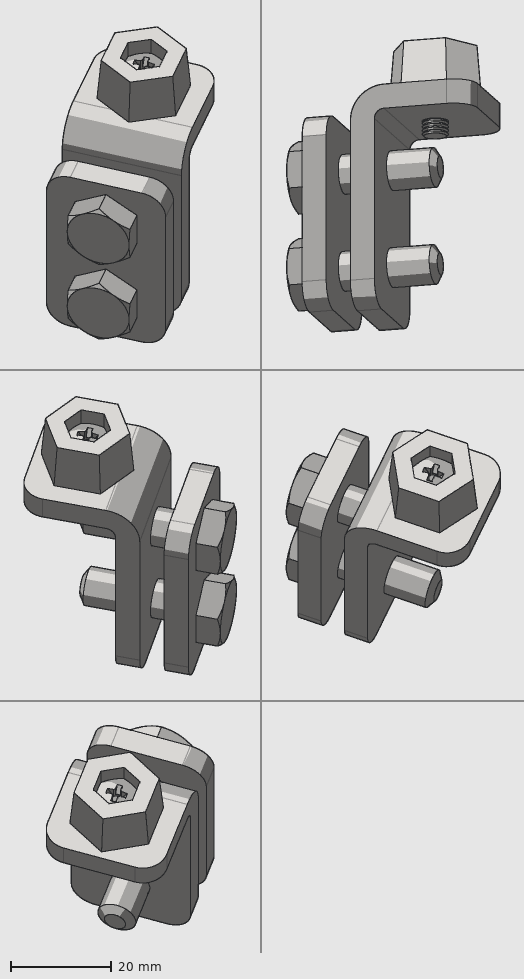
import cadquery as cq
import math

WIDTH = 25.0
DEPTH = 40.0
HEIGHT = 55.0
STOCK = 5.0
CORNER_RADIUS = 5.0
CLAMP_GAP = 5.0

BOLT_HEAD_HEIGHT = 5.0
BOLT_HEAD_FLATS = 13.0
BOLT_HEAD_CHAMFER_ANGLE = 30
BOLT_DIAMETER = 8.0
BOLT_LENGTH = 25.0
BOLT_TIP_LENGTH = 1.15
BOLT_TIP_INSET = 1.75
BOLT_SPACING = 20.0

CAP_HEIGHT = 10.0
CAP_BASE_FLATS = 16.5
CAP_TOP_FLATS = 15.0
SOCKET_FLATS = 8.2

SCREW_SETBACK = 11.0
SCREW_DIAMETER = 5.2
SCREW_PROTRUSION = 3.0
SCREW_HEAD_DIAMETER = 10.0
SCREW_HEAD_TOP_DROP = 2.3
SCREW_HEAD_RIM_HEIGHT = 2.0
SCREW_DOME_HEIGHT = 1.65
THREAD_RIDGES = 4
THREAD_PITCH = SCREW_PROTRUSION / THREAD_RIDGES
THREAD_DEPTH = 0.35
RECESS_SPAN = 4.5
RECESS_ARM_WIDTH = 1.1
RECESS_CORE_DIAMETER = 2.0
RECESS_ARM_DEPTH = 2.0
RECESS_CORE_DEPTH = 2.5
RECESS_POINT_ANGLE = 30

BEND_INNER_RADIUS = 2.0
PLATE_HEIGHT = 40.0
PLATE_TOP_DROP = 4.5

BEND_OUTER_RADIUS = BEND_INNER_RADIUS + STOCK
PLATE_FRONT_Y = BOLT_HEAD_HEIGHT
BRACKET_FRONT_Y = PLATE_FRONT_Y + STOCK + CLAMP_GAP
BRACKET_TOP_Z = HEIGHT - CAP_HEIGHT
PLATE_MID_Z = BRACKET_TOP_Z - PLATE_TOP_DROP - PLATE_HEIGHT / 2
BOLT_HEIGHTS = [PLATE_MID_Z + BOLT_SPACING / 2, PLATE_MID_Z - BOLT_SPACING / 2]
SCREW_Y = DEPTH - SCREW_SETBACK
SCREW_TIP_Z = BRACKET_TOP_Z - STOCK - SCREW_PROTRUSION
SCREW_CROWN_Z = HEIGHT - SCREW_HEAD_TOP_DROP
SCREW_RIM_Z = SCREW_CROWN_Z - SCREW_DOME_HEIGHT
SCREW_SEAT_Z = SCREW_RIM_Z - SCREW_HEAD_RIM_HEIGHT
RECESS_ARM_FLOOR_Z = SCREW_CROWN_Z - RECESS_ARM_DEPTH
RECESS_CORE_FLOOR_Z = SCREW_CROWN_Z - RECESS_CORE_DEPTH


def across_corners(flats):
    """Corner-to-corner size of a hexagon."""
    return flats / math.cos(math.pi / 6)


def hexagon(plane, flats):
    """Workplane with a hexagon whose corners point along the plane's local X."""
    return cq.Workplane(plane).polygon(6, across_corners(flats))


def horizontal_plane(z):
    """Plane on the screw axis at height z, with local X along +Y."""
    return cq.Plane(origin=(0, SCREW_Y, z), xDir=(0, 1, 0), normal=(0, 0, 1))


def bolt_plane(y, z):
    """Plane on a bolt axis, facing +Y, with local X along +Z."""
    return cq.Plane(origin=(0, y, z), xDir=(0, 0, 1), normal=(0, 1, 0))


def make_bolt(z):
    head = hexagon(bolt_plane(0, z), BOLT_HEAD_FLATS).extrude(BOLT_HEAD_HEIGHT)

    face_radius = BOLT_HEAD_FLATS / 2
    flare = BOLT_HEAD_HEIGHT / math.tan(math.radians(BOLT_HEAD_CHAMFER_ANGLE))
    trim_cone = cq.Workplane(
        cq.Solid.makeCone(
            face_radius,
            face_radius + flare,
            BOLT_HEAD_HEIGHT,
            pnt=cq.Vector(0, 0, z),
            dir=cq.Vector(0, 1, 0),
        )
    )
    shank = (
        cq.Workplane(bolt_plane(BOLT_HEAD_HEIGHT, z))
        .circle(BOLT_DIAMETER / 2)
        .extrude(BOLT_LENGTH)
        .faces(">Y")
        .chamfer(BOLT_TIP_LENGTH, BOLT_TIP_INSET)
    )
    return head.intersect(trim_cone).union(shank)


def drill_bolt_holes(body):
    for z in BOLT_HEIGHTS:
        hole = cq.Workplane(bolt_plane(0, z)).circle(BOLT_DIAMETER / 2).extrude(DEPTH)
        body = body.cut(hole)
    return body


def make_clamp_plate():
    blank = (
        cq.Workplane("XY")
        .box(WIDTH, STOCK, PLATE_HEIGHT)
        .edges("|Y")
        .fillet(CORNER_RADIUS)
        .translate((0, PLATE_FRONT_Y + STOCK / 2, PLATE_MID_Z))
    )
    return drill_bolt_holes(blank)


def make_bracket():
    bend_mid = math.cos(math.radians(45))
    bend_y = BRACKET_FRONT_Y + BEND_OUTER_RADIUS
    bend_z = BRACKET_TOP_Z - BEND_OUTER_RADIUS
    outer_mid = (bend_y - BEND_OUTER_RADIUS * bend_mid, bend_z + BEND_OUTER_RADIUS * bend_mid)
    inner_mid = (bend_y - BEND_INNER_RADIUS * bend_mid, bend_z + BEND_INNER_RADIUS * bend_mid)
    blank = (
        cq.Workplane("YZ")
        .moveTo(BRACKET_FRONT_Y, 0)
        .lineTo(BRACKET_FRONT_Y, bend_z)
        .threePointArc(outer_mid, (bend_y, BRACKET_TOP_Z))
        .lineTo(DEPTH, BRACKET_TOP_Z)
        .lineTo(DEPTH, BRACKET_TOP_Z - STOCK)
        .lineTo(bend_y, BRACKET_TOP_Z - STOCK)
        .threePointArc(inner_mid, (BRACKET_FRONT_Y + STOCK, bend_z))
        .lineTo(BRACKET_FRONT_Y + STOCK, 0)
        .close()
        .extrude(WIDTH / 2, both=True)
    )
    rounded = blank.faces("<Z").edges("|Y").fillet(CORNER_RADIUS)
    rounded = rounded.faces(">Y").edges("|Z").fillet(CORNER_RADIUS)
    return drill_bolt_holes(rounded).cut(make_screw_body())


def make_screw_body():
    """Domed screw with thread ridges on its exposed end, without the drive recess."""
    radius = SCREW_DIAMETER / 2
    root_radius = radius - THREAD_DEPTH
    rim_radius = SCREW_HEAD_DIAMETER / 2
    dome_radius = (rim_radius**2 + SCREW_DOME_HEIGHT**2) / (2 * SCREW_DOME_HEIGHT)
    dome_mid_radius = rim_radius / 2
    dome_mid_z = SCREW_CROWN_Z - dome_radius + math.sqrt(dome_radius**2 - dome_mid_radius**2)

    profile = cq.Workplane("XZ", origin=(0, SCREW_Y, 0)).moveTo(0, SCREW_TIP_Z)
    profile = profile.lineTo(root_radius, SCREW_TIP_Z)
    for ridge in range(THREAD_RIDGES):
        root_z = SCREW_TIP_Z + ridge * THREAD_PITCH
        profile = profile.lineTo(radius, root_z + THREAD_PITCH / 2)
        profile = profile.lineTo(root_radius, root_z + THREAD_PITCH)
    return (
        profile.lineTo(radius, BRACKET_TOP_Z - STOCK)
        .lineTo(radius, SCREW_SEAT_Z)
        .lineTo(rim_radius, SCREW_SEAT_Z)
        .lineTo(rim_radius, SCREW_RIM_Z)
        .threePointArc((dome_mid_radius, dome_mid_z), (0, SCREW_CROWN_Z))
        .close()
        .revolve(360, (0, 0, 0), (0, 1, 0))
    )


def make_cross_recess():
    """Cross whose arm tips slope in to a round core with a conical bottom."""
    core_radius = RECESS_CORE_DIAMETER / 2
    point_depth = core_radius * math.tan(math.radians(RECESS_POINT_ANGLE))
    recess = (
        cq.Workplane("XZ", origin=(0, SCREW_Y, 0))
        .moveTo(0, SCREW_CROWN_Z)
        .lineTo(core_radius, SCREW_CROWN_Z)
        .lineTo(core_radius, RECESS_CORE_FLOOR_Z)
        .lineTo(0, RECESS_CORE_FLOOR_Z - point_depth)
        .close()
        .revolve(360, (0, 0, 0), (0, 1, 0))
    )
    arm_pair = (
        cq.Workplane("XZ", origin=(0, SCREW_Y, 0))
        .moveTo(-RECESS_SPAN / 2, SCREW_CROWN_Z)
        .lineTo(RECESS_SPAN / 2, SCREW_CROWN_Z)
        .lineTo(core_radius, RECESS_ARM_FLOOR_Z)
        .lineTo(-core_radius, RECESS_ARM_FLOOR_Z)
        .close()
        .extrude(RECESS_ARM_WIDTH / 2, both=True)
    )
    crossing_pair = arm_pair.rotate((0, SCREW_Y, 0), (0, SCREW_Y, 1), 90)
    return recess.union(arm_pair).union(crossing_pair)


def make_screw():
    return make_screw_body().cut(make_cross_recess())


def make_cap():
    taper = math.degrees(math.atan((CAP_BASE_FLATS - CAP_TOP_FLATS) / 2 / CAP_HEIGHT))
    body = hexagon(horizontal_plane(BRACKET_TOP_Z), CAP_BASE_FLATS).extrude(CAP_HEIGHT, taper=taper)

    socket = hexagon(horizontal_plane(SCREW_RIM_Z), SOCKET_FLATS).extrude(HEIGHT - SCREW_RIM_Z)
    return body.cut(socket).cut(make_screw_body())


bracket = make_bracket()
clamp_plate = make_clamp_plate()
cap = make_cap()
screw = make_screw()
bolts = [make_bolt(z).val() for z in BOLT_HEIGHTS]

result = cq.Compound.makeCompound(
    [bracket.val(), clamp_plate.val(), cap.val(), screw.val(), *bolts]
)